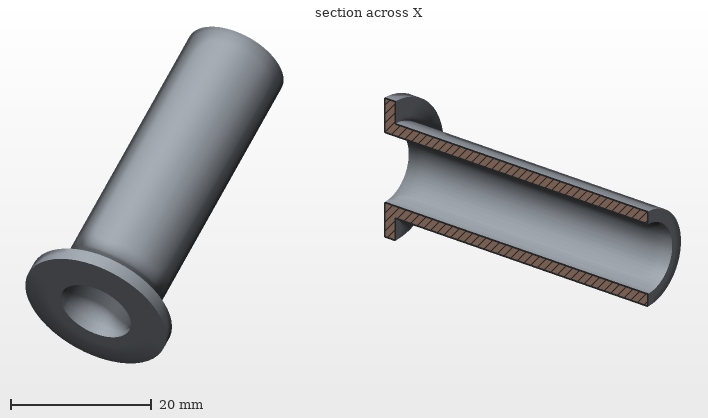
import cadquery as cq

flange_diameter = 22.0
flange_thickness = 2.0
tube_diameter = 15.0
bore_diameter = 11.0
overall_length = 48.0


def cylinder_along_y(diameter, length):
    """Cylinder on the Y axis, from the flange face at Y = 0 towards +Y."""
    return cq.Workplane("XZ").circle(diameter / 2).extrude(-length)


flange = cylinder_along_y(flange_diameter, flange_thickness)
tube = cylinder_along_y(tube_diameter, overall_length)
bore = cylinder_along_y(bore_diameter, overall_length)

result = flange.union(tube).cut(bore)